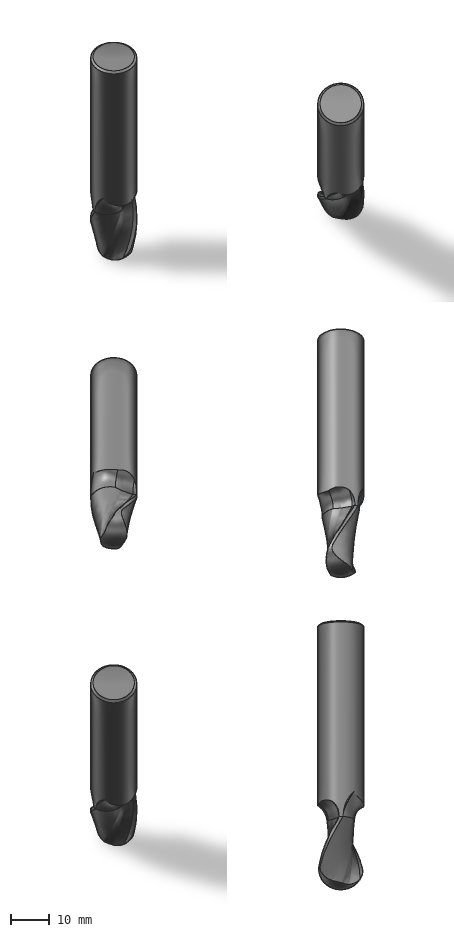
import cadquery as cq
import math

length = 70.0
tool_radius = 12.0 / 2
cutter_length = 18.05
helix_angle = 30.0
flute_angles = (0, 180)

chamfer_width = 0.6
chamfer_height = 0.5

land_start_angle = -81.0
land_width_angle = 9.5
rake_foot = (0.6, -5.0)
core_start = (-1.4, -2.7)
core_end = (-3.0, -1.4)
back_crest = (-3.85, 2.1)

runout_direction = 213.0
runout_axis_distance = 7.6
axis_clearance = 0.1
side_clearance = 0.7

cutter_twist = math.degrees(cutter_length * math.tan(math.radians(helix_angle)) / tool_radius)


def polar(radius, angle):
    """Point at a radius and an angle in degrees."""
    turn = math.radians(angle)
    return (radius * math.cos(turn), radius * math.sin(turn))


def turned(point, angle):
    """Point rotated about the tool axis."""
    x, y = point
    turn = math.radians(angle)
    return (x * math.cos(turn) - y * math.sin(turn), x * math.sin(turn) + y * math.cos(turn))


leading_corner = polar(tool_radius, land_start_angle)
trailing_angle = land_start_angle + land_width_angle - 180
trailing_corner = polar(tool_radius, trailing_angle)


def flute_wall(sketch, angle):
    """Draw one flute wall from its leading corner to its trailing corner."""
    return (
        sketch.lineTo(*turned(rake_foot, angle))
        .lineTo(*turned(core_start, angle))
        .lineTo(*turned(core_end, angle))
        .threePointArc(turned(back_crest, angle), turned(trailing_corner, angle))
    )


def make_cutter():
    """Twisted two-tooth section trimmed to a hemispherical tip."""
    outer_radius = tool_radius + side_clearance
    sketch = cq.Workplane("XY")
    for index, flute_angle in enumerate(flute_angles):
        angle = flute_angle - cutter_twist
        outer_corner = polar(outer_radius, land_start_angle + angle)
        sketch = sketch.lineTo(*outer_corner) if index else sketch.moveTo(*outer_corner)
        sketch = sketch.lineTo(*turned(leading_corner, angle))
        sketch = flute_wall(sketch, angle)
        sketch = sketch.lineTo(*polar(outer_radius, trailing_angle + angle))
    teeth = sketch.close().twistExtrude(cutter_length, cutter_twist)

    tip_middle = tool_radius * math.sqrt(0.5)
    envelope = (
        cq.Workplane("XZ")
        .threePointArc((tip_middle, tool_radius - tip_middle), (tool_radius, tool_radius))
        .lineTo(tool_radius, cutter_length)
        .lineTo(0, cutter_length)
        .close()
        .revolve(360, (0, 0, 0), (0, 1, 0))
    )
    return envelope.intersect(teeth)


def make_flute_runout():
    """Flute section turned outward about an axis beside the shank."""
    far = runout_axis_distance - axis_clearance
    side = tool_radius + side_clearance
    sketch = cq.Workplane("XY").workplane(offset=cutter_length).moveTo(*leading_corner)
    sketch = flute_wall(sketch, 0)
    for along, across in ((0, -side), (far, -side), (far, side)):
        sketch = sketch.lineTo(*turned((along, across), runout_direction))
    axis_start = turned((runout_axis_distance, 0), runout_direction)
    axis_end = turned((runout_axis_distance, 0.7), runout_direction)
    return sketch.close().revolve(90, axis_start, axis_end)


def make_shank():
    """Chamfered round bar with a run-out for each flute."""
    shank = (
        cq.Workplane("XY")
        .workplane(offset=cutter_length)
        .circle(tool_radius)
        .extrude(length - cutter_length)
        .faces(">Z")
        .chamfer(chamfer_height, chamfer_width)
    )
    runout = make_flute_runout()
    for angle in flute_angles:
        shank = shank.cut(runout.rotate((0, 0, 0), (0, 0, 1), angle))
    return shank


cutter = make_cutter()
shank = make_shank()

result = cq.Compound.makeCompound([cutter.solids().val(), shank.solids().val()])